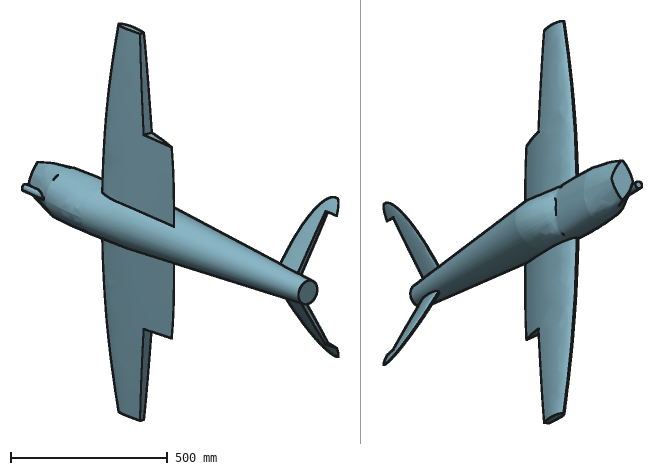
import cadquery as cq
import math

LENGTH = 1321.0
SPAN = 1321.0

NOSE_FACE = (0.0, 37.0, -1.0, -40.0, 66.0, 1.3, 1.3)
NOSE_MIDDLE = (63.0, 48.0, 4.0, -62.0, 79.0, 1.7, 1.6)
NOSE_END = (150.0, 58.0, 10.0, -90.0, 87.0, 2.2, 2.0)
COWL_MIDDLE = (247.0, 61.0, 17.0, -99.0, 88.0, 2.1, 2.0)
CANOPY_START = (346.0, 61.0, 21.0, -99.0, 88.0, 2.0, 2.0)

CANOPY_END_X = 506.0
CANOPY_TOP = 123.0
CANOPY_SILL = 60.0
CANOPY_END_BOTTOM = -80.0
CANOPY_STEPS = 4
TAIL_RADIUS = 40.0
TAIL_Y = 46.0

WING_STATIONS = [
    (0.0, 355.0, 722.0, 57.0),
    (158.0, 358.0, 717.0, 52.0),
    (330.0, 367.0, 700.0, 45.0),
    (498.0, 387.0, 654.0, 37.0),
    (SPAN / 2, 415.0, 575.0, 28.0),
]
WING_TOP = 16.0
WING_CAMBER = 0.025
AILERON_TIP_X = 528.0
AILERON_ROOT_X = 568.0
AILERON_ROOT_Z = 332.0
AILERON_END_X = 700.0
AILERON_END_Z = 326.0

FIN_REACH = 315.0
FIN_ROOT_LEADING_X = 1148.0
FIN_ROOT_TRAILING_X = 1331.0
FIN_TIP_X = 1270.0
FIN_THICKNESS = 21.0
FIN_STATIONS = 8
FIN_LAST_ANGLE = 84.0
FIN_DIHEDRAL = 30.0
ELEVATOR_ROOT_X = 1250.0
ELEVATOR_TIP_X = 1253.0
ELEVATOR_TIP_OUT = 260.0

PROBE_RADIUS = 12.0
PROBE_START_X = 18.0
PROBE_END_X = 132.0
PROBE_Y = -70.0

CURVE_STEPS = 12
CUT_MARGIN = 132.0
JOIN_TOLERANCE = 0.01


def spread(start, end, steps):
    """Evenly spaced values from start to end, both included."""
    return [start + (end - start) * i / steps for i in range(steps + 1)]


def oval_point(x, top, middle, bottom, half_width, upper_power, lower_power, angle):
    """Point of an oval cross-section, with the angle measured from +Z towards +Y."""
    rise = math.sin(angle)
    reach = math.cos(angle)
    power = upper_power if rise > 0 else lower_power
    height = top - middle if rise > 0 else middle - bottom
    radius = (abs(rise) ** power + abs(reach) ** power) ** (-1 / power)
    return cq.Vector(x, middle + height * radius * rise, half_width * radius * reach)


def oval_wire(station):
    """Closed cross-section made of two halves that meet at the top and bottom."""
    quarter_turn = math.pi / 2
    angles = spread(-quarter_turn, quarter_turn, 2 * CURVE_STEPS)
    right = [oval_point(*station, angle) for angle in angles]
    left = [cq.Vector(p.x, p.y, -p.z) for p in right]
    return cq.Wire.assembleEdges([cq.Edge.makeSpline(right), cq.Edge.makeSpline(left[::-1])])


def canopy_wire(fraction):
    """Section of hull and canopy: an oval whose part above the sill is stretched to the canopy top."""
    start_x, start_top, middle, start_bottom, half_width = CANOPY_START[:5]
    x = start_x + fraction * (CANOPY_END_X - start_x)
    bottom = start_bottom + fraction * (CANOPY_END_BOTTOM - start_bottom)
    hull_top = start_top + fraction * (CANOPY_TOP - start_top)
    canopy_top = CANOPY_TOP - (1 - fraction) ** 2 * (CANOPY_TOP - start_top)
    stretch = (canopy_top - CANOPY_SILL) / (hull_top - CANOPY_SILL)
    sill_angle = math.asin((CANOPY_SILL - middle) / (hull_top - middle))

    def point(angle):
        return oval_point(x, hull_top, middle, bottom, half_width, 2, 2, angle)

    cap = [point(angle) for angle in spread(sill_angle, math.pi - sill_angle, 2 * CURVE_STEPS)]
    cap = [cq.Vector(p.x, CANOPY_SILL + stretch * (p.y - CANOPY_SILL), p.z) for p in cap]
    hull = [point(angle) for angle in spread(-math.pi - sill_angle, sill_angle, 4 * CURVE_STEPS)]
    return cq.Wire.assembleEdges([cq.Edge.makeSpline(cap), cq.Edge.makeSpline(hull)])


def make_tail_cone():
    """Cone from the full canopy section to a round end square to its own axis."""
    middle = CANOPY_START[2]
    slope = math.atan2(TAIL_Y - middle, LENGTH - CANOPY_END_X)
    end_x = LENGTH - TAIL_RADIUS * math.sin(slope)
    front = oval_wire((CANOPY_END_X, CANOPY_TOP, middle, CANOPY_END_BOTTOM, CANOPY_START[4], 2, 2))
    end = oval_wire((end_x, TAIL_Y + TAIL_RADIUS, TAIL_Y, TAIL_Y - TAIL_RADIUS, TAIL_RADIUS, 2, 2))
    pivot = cq.Vector(end_x, TAIL_Y, 0)
    end = end.rotate(pivot, pivot + cq.Vector(0, 0, 13), math.degrees(slope))
    return cq.Solid.makeLoft([front, end], True)


def make_hull():
    """The whole fuselage, before the probe's socket is cut."""
    nose = cq.Solid.makeLoft([oval_wire(s) for s in (NOSE_FACE, NOSE_MIDDLE, NOSE_END)])
    cowl = cq.Solid.makeLoft([oval_wire(s) for s in (NOSE_END, COWL_MIDDLE, CANOPY_START)])
    canopy = cq.Solid.makeLoft([canopy_wire(f) for f in spread(0, 1, CANOPY_STEPS)])
    hull = cq.Workplane(nose)
    for section in (cowl, canopy, make_tail_cone()):
        hull = hull.union(cq.Workplane(section), tol=JOIN_TOLERANCE)
    return hull


def airfoil_wire(z, leading_x, trailing_x, thickness, chord_y, camber):
    """Four-digit style airfoil with a sharp trailing edge, in the plane at height z."""
    chord = trailing_x - leading_x
    upper = []
    lower = []
    for angle in spread(0, math.pi, CURVE_STEPS):
        t = (1 - math.cos(angle)) / 2
        half = 5 * thickness * (
            0.2969 * math.sqrt(t) - 0.126 * t - 0.3516 * t**2 + 0.2843 * t**3 - 0.1036 * t**4)
        mean_y = chord_y + 4 * camber * chord * t * (1 - t)
        x = leading_x + chord * t
        upper.append(cq.Vector(x, mean_y + half, z))
        lower.append(cq.Vector(x, mean_y - half, z))
    return cq.Wire.assembleEdges([cq.Edge.makeSpline(upper), cq.Edge.makeSpline(lower[::-1])])


def through_cutter(outline):
    """Prism over an outline of (x, z) points, deep enough along Y to cut right through."""
    return cq.Workplane("XZ").polyline(outline).close().extrude(CUT_MARGIN, both=True)


def make_wing(fuselage):
    """Wing on the +Z side: lofted airfoils less the aileron bay, butted on the fuselage."""
    wires = []
    for z, leading_x, trailing_x, thickness in WING_STATIONS:
        chord_y = WING_TOP - thickness / 2 - WING_CAMBER * (trailing_x - leading_x)
        wires.append(airfoil_wire(z, leading_x, trailing_x, thickness, chord_y, WING_CAMBER))
    wing = cq.Workplane(cq.Solid.makeLoft(wires))
    aileron_bay = through_cutter([
        (AILERON_TIP_X, SPAN / 2),
        (AILERON_ROOT_X, AILERON_ROOT_Z),
        (AILERON_END_X, AILERON_END_Z),
        (AILERON_END_X + CUT_MARGIN, AILERON_END_Z),
        (AILERON_END_X + CUT_MARGIN, SPAN / 2 + CUT_MARGIN),
        (AILERON_TIP_X, SPAN / 2 + CUT_MARGIN),
    ])
    return wing.cut(aileron_bay).cut(fuselage)


def fin_wire(angle):
    """Fin section where the quarter ellipse of each edge has turned by the given angle."""
    share = math.cos(angle)
    return airfoil_wire(
        FIN_REACH * math.sin(angle),
        FIN_TIP_X + share * (FIN_ROOT_LEADING_X - FIN_TIP_X),
        FIN_TIP_X + share * (FIN_ROOT_TRAILING_X - FIN_TIP_X),
        FIN_THICKNESS * share,
        chord_y=0,
        camber=0,
    )


def make_fin(fuselage):
    """Tail fin on the +Z side: lofted upright, cut for its elevator, then tilted up."""
    angles = spread(0, math.radians(FIN_LAST_ANGLE), FIN_STATIONS)
    fin = cq.Workplane(cq.Solid.makeLoft([fin_wire(angle) for angle in angles]))
    elevator_bay = through_cutter([
        (ELEVATOR_ROOT_X, 0),
        (ELEVATOR_TIP_X, ELEVATOR_TIP_OUT),
        (LENGTH + CUT_MARGIN, ELEVATOR_TIP_OUT),
        (LENGTH + CUT_MARGIN, 0),
    ])
    fin = fin.cut(elevator_bay).rotate((0, 0, 0), (1, 0, 0), -FIN_DIHEDRAL).translate((0, TAIL_Y, 0))
    return fin.cut(fuselage)


def make_probe():
    return (
        cq.Workplane("YZ", origin=(PROBE_START_X, PROBE_Y, 0))
        .circle(PROBE_RADIUS)
        .extrude(PROBE_END_X - PROBE_START_X)
    )


hull = make_hull()
wing = make_wing(hull)
fin = make_fin(hull)
probe = make_probe()
fuselage = hull.cut(probe)

paired = []
for half in (wing, fin):
    paired.append(half.val())
    paired.append(half.mirror("XY").val())

result = cq.Compound.makeCompound([fuselage.val(), probe.val(), *paired])